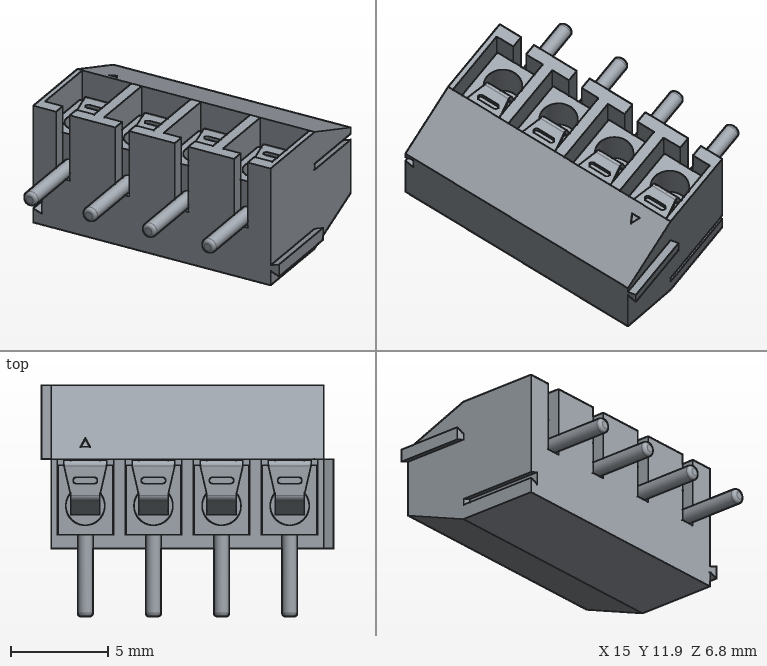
import cadquery as cq
import math


POLES = 4
PITCH = 3.5
WIDTH = POLES * PITCH
DEPTH = 8.4
HEIGHT = 6.8
FLAT_DEPTH = 4.6
TAPER_DROP = 1.5

RAIL_REACH = 0.5
RAIL_ROOT = 0.34
RAIL_TIP = 0.7
FRONT_RAIL_Z = 1.0
REAR_RAIL_Z = 4.77

POCKET_WIDTH = 2.9
FRONT_WALL = 0.7

PIN_DIAMETER = 0.8
PIN_LENGTH = 3.5
PIN_TIP_RADIUS = 0.2
PIN_Z = HEIGHT / 2
POCKET_FLOOR = PIN_Z - PIN_DIAMETER / 2

BLOCK_WIDTH = 2.8
BLOCK_TOP = HEIGHT - 1.53
BLOCK_REAR = 4.27
WELL_RADIUS = 1.0
WELL_Y = 2.2
WELL_DEPTH = 2.1

TONGUE_THICKNESS = 0.21
TONGUE_TOP = BLOCK_TOP + TONGUE_THICKNESS
TONGUE_REAR = 4.53
TONGUE_REAR_RADIUS = 0.28
TONGUE_REAR_LEG = 0.5
TONGUE_BACK_WIDTH = 2.19
TONGUE_TIP_WIDTH = 1.5
TONGUE_BEND_Y = 2.75
TONGUE_BEND_RADIUS = 0.3
TONGUE_BEND_ANGLE = math.radians(70)
TONGUE_TIP_Y = 1.75

SLOT_LENGTH = 1.25
SLOT_WIDTH = 0.32
SLOT_Y = 3.5

SCREW_DIAMETER = 1.5

MARK_SIZE = 0.5
MARK_Y = 5.22
MARK_DEPTH = 0.15

POLE_X = [(i - (POLES - 1) / 2) * PITCH for i in range(POLES)]


def box(x_size, y_start, y_end, z_start, z_end):
    """Box centred on X = 0 between the given Y and Z limits."""
    base = cq.Workplane("XY").box(x_size, y_end - y_start, z_end - z_start, centered=(True, False, False))
    return base.translate((0, y_start, z_start))


def cylinder_along_y(diameter, z, y_start, y_end):
    """Cylinder on X = 0 running from y_start to y_end."""
    disc = cq.Workplane("XZ", origin=(0, y_start, z)).circle(diameter / 2)
    return disc.extrude(y_start - y_end)


def housing_body():
    outline = [
        (0, 0),
        (FLAT_DEPTH, 0),
        (DEPTH, TAPER_DROP),
        (DEPTH, HEIGHT - TAPER_DROP),
        (FLAT_DEPTH, HEIGHT),
        (0, HEIGHT),
    ]
    return cq.Workplane("YZ").polyline(outline).close().extrude(WIDTH / 2, both=True)


def dovetail(root_x, tip_x, z, y_start, y_end):
    """Dovetail bar widening from root_x to tip_x."""
    outline = [
        (root_x, z - RAIL_ROOT / 2),
        (tip_x, z - RAIL_TIP / 2),
        (tip_x, z + RAIL_TIP / 2),
        (root_x, z + RAIL_ROOT / 2),
    ]
    profile = cq.Workplane("XZ", origin=(0, y_start, 0)).polyline(outline).close()
    return profile.extrude(y_start - y_end)


def add_joints(body):
    """Front rail on +X and rear rail on -X, each with its mating groove on the opposite side."""
    side = WIDTH / 2
    front = (FRONT_RAIL_Z, 0, FLAT_DEPTH)
    rear = (REAR_RAIL_Z, FLAT_DEPTH, DEPTH)
    body = body.cut(dovetail(-side, -side + RAIL_REACH, *front))
    body = body.cut(dovetail(side, side - RAIL_REACH, *rear))
    body = body.union(dovetail(side, side + RAIL_REACH, *front))
    return body.union(dovetail(-side, -side - RAIL_REACH, *rear))


def pole_cutout():
    """Open pocket plus the narrow slot through the front wall."""
    pocket = box(POCKET_WIDTH, FRONT_WALL, FLAT_DEPTH, POCKET_FLOOR, HEIGHT)
    return pocket.union(box(PIN_DIAMETER, 0, FRONT_WALL, POCKET_FLOOR, HEIGHT))


def pin():
    shaft = cylinder_along_y(PIN_DIAMETER, PIN_Z, -PIN_LENGTH, FRONT_WALL)
    return shaft.faces("<Y").edges().fillet(PIN_TIP_RADIUS)


def contact_block():
    block = box(BLOCK_WIDTH, FRONT_WALL, BLOCK_REAR, POCKET_FLOOR, BLOCK_TOP)
    well = cq.Workplane("XY", origin=(0, WELL_Y, BLOCK_TOP)).circle(WELL_RADIUS).extrude(-WELL_DEPTH)
    return block.cut(well)


def tongue_sheet():
    """Side profile of the bent sheet: rear leg, level run, bend and sloping tip."""
    def bend_point(radius, angle):
        y = TONGUE_BEND_Y - radius * math.sin(angle)
        z = TONGUE_TOP - TONGUE_BEND_RADIUS + radius * math.cos(angle)
        return (y, z)

    angle = TONGUE_BEND_ANGLE
    outer = TONGUE_BEND_RADIUS
    inner = outer - TONGUE_THICKNESS
    bend_end = bend_point(outer, angle)
    inner_end = bend_point(inner, angle)
    slope_run = bend_end[0] - TONGUE_TIP_Y
    slope_drop = slope_run * math.tan(angle)
    rear_arc_y = TONGUE_REAR - TONGUE_REAR_RADIUS
    rear_arc_z = TONGUE_TOP - TONGUE_REAR_RADIUS
    rear_mid = TONGUE_REAR_RADIUS * math.sin(math.pi / 4)
    leg_bottom = rear_arc_z - TONGUE_REAR_LEG
    profile = (
        cq.Workplane("YZ")
        .moveTo(BLOCK_REAR, BLOCK_TOP)
        .lineTo(BLOCK_REAR, leg_bottom)
        .lineTo(TONGUE_REAR, leg_bottom)
        .lineTo(TONGUE_REAR, rear_arc_z)
        .threePointArc((rear_arc_y + rear_mid, rear_arc_z + rear_mid), (rear_arc_y, TONGUE_TOP))
        .lineTo(TONGUE_BEND_Y, TONGUE_TOP)
        .threePointArc(bend_point(outer, angle / 2), bend_end)
        .lineTo(TONGUE_TIP_Y, bend_end[1] - slope_drop)
        .lineTo(inner_end[0] - slope_run, inner_end[1] - slope_drop)
        .lineTo(*inner_end)
        .threePointArc(bend_point(inner, angle / 2), (TONGUE_BEND_Y, BLOCK_TOP))
        .close()
    )
    return profile.extrude(TONGUE_BACK_WIDTH / 2, both=True)


def tongue():
    """Bent sheet trimmed to its tapering plan outline."""
    taper_start = TONGUE_REAR - TONGUE_REAR_RADIUS
    back = TONGUE_BACK_WIDTH / 2
    tip = TONGUE_TIP_WIDTH / 2
    plan = [
        (-back, FLAT_DEPTH),
        (-back, taper_start),
        (-tip, TONGUE_BEND_Y),
        (-tip, FRONT_WALL),
        (tip, FRONT_WALL),
        (tip, TONGUE_BEND_Y),
        (back, taper_start),
        (back, FLAT_DEPTH),
    ]
    return tongue_sheet().intersect(cq.Workplane("XY").polyline(plan).close().extrude(HEIGHT))


def contact():
    """Contact block with its tongue, slot, screw shank and pin."""
    slot = cq.Workplane("XY", origin=(0, SLOT_Y, TONGUE_TOP)).slot2D(SLOT_LENGTH, SLOT_WIDTH)
    screw = cylinder_along_y(SCREW_DIAMETER, PIN_Z, BLOCK_REAR, FLAT_DEPTH)
    clamp = contact_block().union(tongue()).cut(slot.extrude(-TONGUE_THICKNESS))
    return clamp.union(screw).union(pin())


def pole_mark():
    """Triangle sunk into the sloping roof above the first pole, pointing toward +Y."""
    slope = math.atan2(TAPER_DROP, DEPTH - FLAT_DEPTH)
    roof_z = HEIGHT - (MARK_Y - FLAT_DEPTH) * math.tan(slope)
    normal = (0, math.sin(slope), math.cos(slope))
    roof = cq.Plane(origin=(POLE_X[0], MARK_Y, roof_z), xDir=(1, 0, 0), normal=normal)
    half = MARK_SIZE / 2
    outline = [(-half, 0), (half, 0), (0, MARK_SIZE)]
    return cq.Workplane(roof).polyline(outline).close().extrude(-MARK_DEPTH)


result = add_joints(housing_body()).cut(pole_mark())
for pole_x in POLE_X:
    result = result.cut(pole_cutout().translate((pole_x, 0, 0)))
    result = result.union(contact().translate((pole_x, 0, 0)))